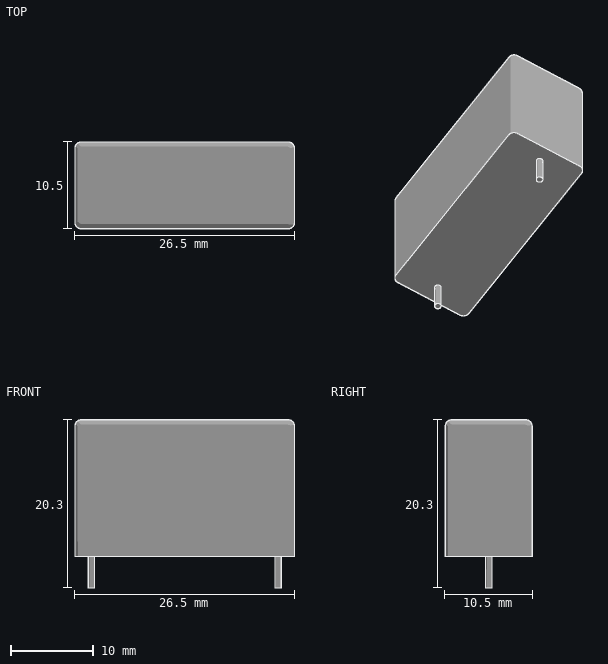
import cadquery as cq

length = 26.5
width = 10.5
total_height = 20.3
pin_length = 3.8
housing_height = total_height - pin_length
edge_radius = 0.8

pin_diameter = 0.8
pin_spacing = 22.5


def make_housing():
    """Rounded box standing on Z = 0, with a sharp bottom rim."""
    box = cq.Workplane("XY").box(length, width, housing_height, centered=(True, True, False))
    return box.edges("|Z or >Z").fillet(edge_radius)


def make_pin(x):
    """Round lead that hangs from the underside of the housing."""
    return cq.Workplane("XY").center(x, 0).circle(pin_diameter / 2).extrude(-pin_length)


housing = make_housing()
pins = []
for side in (-1, 1):
    pins.append(make_pin(side * pin_spacing / 2).val())

result = cq.Compound.makeCompound([housing.val(), *pins])